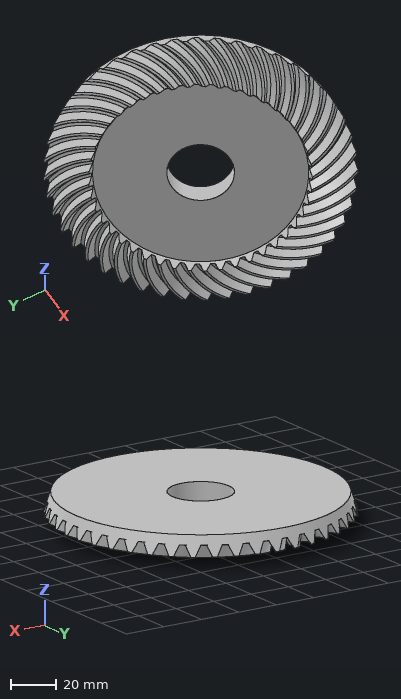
import cadquery as cq
import math

height = 15.8
outer_radius = 70.0
outer_height = 6.3
top_radius = 66.8
inner_radius = 49.7
bore_radius = 15.0
recess_height = 4.9

tooth_count = 45
tooth_pitch = 360 / tooth_count
first_gap_angle = -86.7
gap_depth = 5.5
gap_root_width = 2.5
gap_tip_width = 7.8
spiral_angle = 50.0
tooth_line_radius = 39.2

tip_slope = outer_height / (outer_radius - inner_radius)
apex_height = -inner_radius * tip_slope
cone_distance = math.hypot(outer_radius, outer_height - apex_height)
arc_centre_distance = math.sqrt(
    cone_distance**2
    + tooth_line_radius**2
    - 2 * cone_distance * tooth_line_radius * math.sin(math.radians(spiral_angle))
)
inner_scale = inner_radius / outer_radius
back_run = outer_radius - top_radius
back_rise = height - outer_height
back_length = math.hypot(back_run, back_rise)
depth_run = gap_depth * back_run / back_length
depth_rise = gap_depth * back_rise / back_length

cutter_overrun = 0.06
cutter_sections = 6
tip_overrun = 0.2


def make_blank():
    """Revolved gear body with the underside recessed inside the teeth."""
    recess_radius = inner_radius - recess_height * back_run / back_rise
    profile = [
        (bore_radius, recess_height),
        (recess_radius, recess_height),
        (inner_radius, 0),
        (outer_radius, outer_height),
        (top_radius, height),
        (bore_radius, height),
    ]
    return cq.Workplane("XZ").polyline(profile).close().revolve(360, (0, 0), (0, 1))


def tooth_line_angle(scale):
    """Angle, on the unrolled cone, from the arc's centre to its point at this share of cone distance."""
    distance = scale * cone_distance
    return math.acos(
        (distance**2 + arc_centre_distance**2 - tooth_line_radius**2) / (2 * distance * arc_centre_distance)
    )


def gap_section(scale):
    """Closed trapezoid across one gap, at a given share of the outer cone distance."""
    twist = (tooth_line_angle(1) - tooth_line_angle(scale)) * cone_distance / outer_radius
    angle = math.radians(first_gap_angle) - twist
    slope_width = (gap_tip_width - gap_root_width) / 2
    mouth_half = gap_tip_width / 2 + slope_width * tip_overrun
    root_half = gap_root_width / 2
    corners = []
    outline = [
        (-mouth_half, -tip_overrun),
        (mouth_half, -tip_overrun),
        (root_half, 1),
        (-root_half, 1),
    ]
    for side, depth in outline:
        radial = scale * (outer_radius - depth * depth_run)
        across = scale * side
        x = radial * math.cos(angle) - across * math.sin(angle)
        y = radial * math.sin(angle) + across * math.cos(angle)
        z = apex_height + scale * (outer_height - apex_height + depth * depth_rise)
        corners.append(cq.Vector(x, y, z))
    return cq.Wire.makePolygon(corners, close=True)


def make_gap_cutter():
    """Spiral gap lofted from just inside the inner end to just outside the outer end."""
    start = inner_scale - cutter_overrun
    span = 1 + cutter_overrun - start
    scales = [start + span * i / (cutter_sections - 1) for i in range(cutter_sections)]
    return cq.Solid.makeLoft([gap_section(scale) for scale in scales])


gap_cutter = make_gap_cutter()
gap_cutters = [
    gap_cutter.rotate(cq.Vector(0, 0, 0), cq.Vector(0, 0, 1), i * tooth_pitch)
    for i in range(tooth_count)
]
result = cq.Workplane("XY").newObject([make_blank().val().cut(*gap_cutters)])